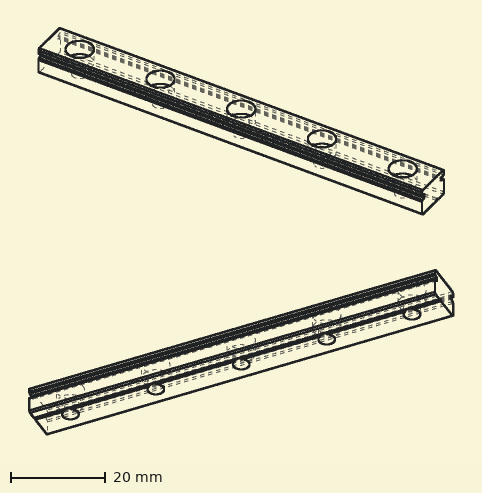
import cadquery as cq

length = 95.0
width = 9.0
height = 6.5
edge_chamfer = 0.4

raceway_height = 4.5
raceway_half_width = 0.6
raceway_edge_break = 0.3
flank_depth = 0.9
flank_bulge = 0.05
relief_depth = 1.1
relief_half_width = 0.33

hole_count = 5
hole_pitch = 20.0
hole_diameter = 3.5
counterbore_diameter = 6.0
counterbore_depth = 3.5

mark_offset = 1.8
mark_radius = 0.3


def rail_body():
    """Extrude the chamfered bar along X, centred on the origin."""
    bar = cq.Workplane("XY").box(length, width, height, centered=(True, True, False))
    return bar.edges("|X").chamfer(edge_chamfer)


def raceway_cutter():
    """Cutter for the +Y raceway, symmetric about the raceway height."""
    side = width / 2
    mouth_half_width = raceway_half_width + raceway_edge_break
    lip = side - raceway_edge_break
    flank_end = side - flank_depth
    slot_floor = side - relief_depth
    flank_middle = (lip + flank_end) / 2
    flank_middle_height = (raceway_half_width + relief_half_width) / 2 + flank_bulge
    section = (
        cq.Workplane("YZ", origin=(0, 0, raceway_height))
        .moveTo(side, mouth_half_width)
        .lineTo(lip, raceway_half_width)
        .threePointArc((flank_middle, flank_middle_height), (flank_end, relief_half_width))
        .lineTo(slot_floor, relief_half_width)
        .lineTo(slot_floor, -relief_half_width)
        .lineTo(flank_end, -relief_half_width)
        .threePointArc((flank_middle, -flank_middle_height), (lip, -raceway_half_width))
        .lineTo(side, -mouth_half_width)
        .close()
    )
    return section.extrude(length / 2, both=True)


def cut_mounting_holes(body):
    """Cut a row of counterbored through holes from the top face."""
    return (
        body.faces(">Z")
        .workplane(origin=(0, 0, height))
        .rarray(hole_pitch, 0.95, hole_count, 1)
        .cboreHole(hole_diameter, counterbore_diameter, counterbore_depth)
    )


def reference_groove():
    """Round bar that cuts a half-round groove into the underside."""
    section = cq.Workplane("YZ").center(mark_offset, 0).circle(mark_radius)
    return section.extrude(length / 2, both=True)


right_raceway = raceway_cutter()
left_raceway = right_raceway.mirror("XZ")
rail = rail_body().cut(right_raceway).cut(left_raceway)
result = cut_mounting_holes(rail).cut(reference_groove())